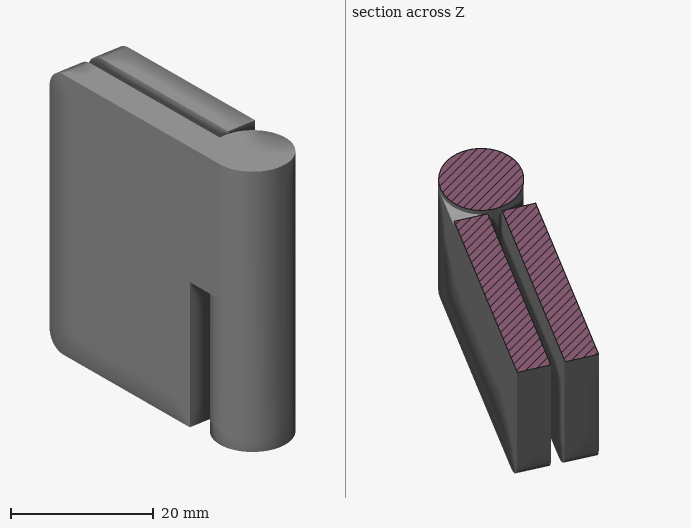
import cadquery as cq

width = 43.0
height = 45.0
barrel_diameter = 12.0

leaf_thickness = 5.0
corner_radius = 3.0
leaf_free_edge = 30.45
web_height = 21.7

barrel_radius = barrel_diameter / 2
barrel_x = width - barrel_radius


def leaf(y_start, web_bottom):
    """Plate with rounded outer corners and a web reaching the barrel axis."""
    plate = (
        cq.Workplane("XY")
        .box(leaf_free_edge, leaf_thickness, height, centered=False)
        .edges("|Y and <X")
        .fillet(corner_radius)
    )
    web = (
        cq.Workplane("XY")
        .box(barrel_x - leaf_free_edge, leaf_thickness, web_height, centered=False)
        .translate((leaf_free_edge, 0, web_bottom))
    )
    return plate.union(web).translate((0, y_start, 0))


front_leaf = leaf(-barrel_radius, height - web_height)
rear_leaf = leaf(barrel_radius - leaf_thickness, 0)
barrel = cq.Workplane("XY").center(barrel_x, 0).circle(barrel_radius).extrude(height)

result = barrel.union(front_leaf).union(rear_leaf)